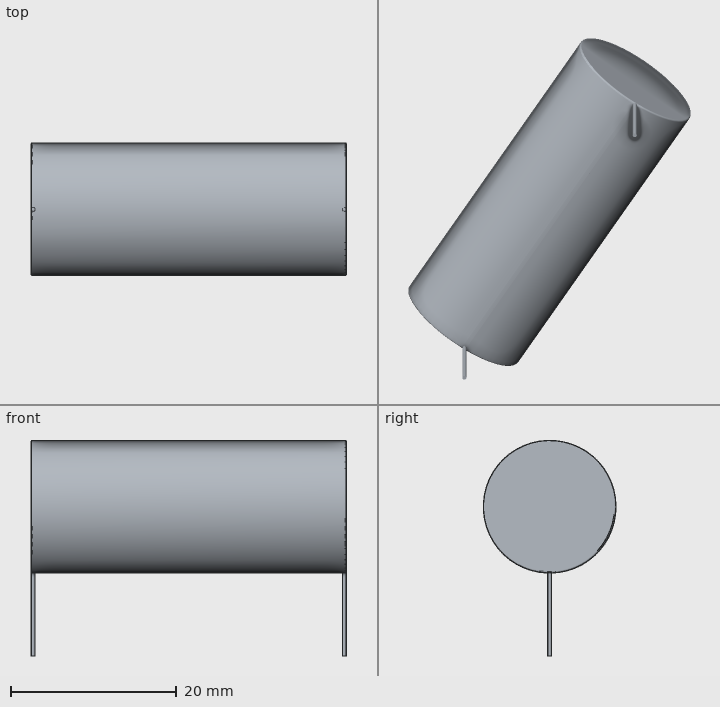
import cadquery as cq

body_length = 38.0
body_diameter = 16.0
body_radius = body_diameter / 2
rim_fillet = 0.2

overall_height = 26.0
lead_diameter = 0.5
lead_seat_depth = 0.15
lead_length = overall_height - body_diameter + lead_seat_depth
lead_bottom = body_radius - overall_height
lead_offset = (body_length - lead_diameter) / 2


def make_lead(x):
    """Straight round wire standing along Z at the given X position."""
    return (
        cq.Workplane("XY", origin=(x, 0, lead_bottom))
        .circle(lead_diameter / 2)
        .extrude(lead_length)
    )


def make_body(leads):
    """Round body with filleted rims and a matching seat for each lead."""
    body = (
        cq.Workplane("YZ", origin=(-body_length / 2, 0, 0))
        .circle(body_radius)
        .extrude(body_length)
        .faces("<X or >X")
        .edges()
        .fillet(rim_fillet)
    )
    for lead in leads:
        body = body.cut(lead)
    return body


leads = [make_lead(x) for x in (-lead_offset, lead_offset)]
body = make_body(leads)

result = cq.Compound.makeCompound([body.solids().val(), *[lead.val() for lead in leads]])